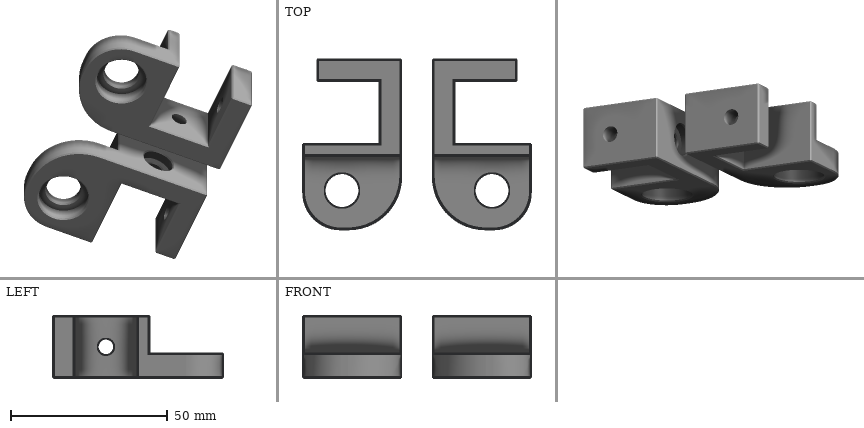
import cadquery as cq

total_width = 73.0
bracket_gap = 10.0
bracket_width = (total_width - bracket_gap) / 2
height = 20.0

wall = 7.0
front_wall = 4.0
slot_length = 20.0
arm_length = slot_length

foot_length = 23.5
foot_thickness = 8.0
outer_corner_radius = 12.0
inner_corner_radius = 17.0
edge_chamfer = 0.4

foot_hole_diameter = 11.0
seat_diameter = 16.0
seat_depth = 5.0
foot_hole_offset = 12.5

screw_diameter = 5.2
screw_head_diameter = 10.0
screw_head_depth = 3.0

web_outer_x = bracket_gap / 2
web_inner_x = web_outer_x + wall
side_x = total_width / 2
arm_end_x = web_inner_x + arm_length
slot_front_y = foot_length + front_wall
slot_back_y = slot_front_y + slot_length
back_y = slot_back_y + wall
web_hole_y = (slot_front_y + slot_back_y) / 2
arm_hole_x = (web_inner_x + arm_end_x) / 2

tolerance = 0.01


def make_clamp():
    """C-shaped upright part: web, back arm and front wall."""
    outline = [
        (web_outer_x, foot_length),
        (side_x, foot_length),
        (side_x, slot_front_y),
        (web_inner_x, slot_front_y),
        (web_inner_x, slot_back_y),
        (arm_end_x, slot_back_y),
        (arm_end_x, back_y),
        (web_outer_x, back_y),
    ]
    return cq.Workplane("XY").polyline(outline).close().extrude(height)


def make_foot():
    """Flat foot that runs under the front wall, with two differently rounded corners."""
    foot = cq.Workplane("XY").box(bracket_width, slot_front_y, foot_thickness, centered=False)
    foot = foot.translate((web_outer_x, 0, 0))
    foot = foot.edges("|Z and <Y and <X").fillet(inner_corner_radius)
    return foot.edges("|Z and <Y and >X").fillet(outer_corner_radius)


def is_outer_edge(edge):
    """False for inside corners and for the upright seams of the rounded foot corners."""
    center = edge.Center()
    upright = edge.tangentAt(0).cross(cq.Vector(0, 0, 0.7)).Length < tolerance
    in_foot = center.y < foot_length - tolerance
    in_slot_corner = abs(center.x - web_inner_x) < tolerance
    below_wall = abs(center.y - foot_length) < tolerance and abs(center.z - foot_thickness) < tolerance
    return not (upright and (in_foot or in_slot_corner)) and not below_wall


def chamfer_outer_edges(body):
    """Break every outer edge of the bracket."""
    outer_edges = [edge for edge in body.edges().vals() if is_outer_edge(edge)]
    return body.newObject(outer_edges).chamfer(edge_chamfer)


def make_recessed_hole(face, diameter, recess_diameter, recess_depth, wall_depth):
    """Cutter for a hole with a wider recess at the given face and chamfered recess-side rims."""
    hole = face.circle(diameter / 2).extrude(wall_depth)
    hole_rim = make_rim_cone(face.workplane(offset=recess_depth), diameter)
    recess = face.circle(recess_diameter / 2).extrude(recess_depth)
    recess_rim = make_rim_cone(face, recess_diameter)
    return hole.union(hole_rim).union(recess).union(recess_rim)


def make_rim_cone(face, diameter):
    """45 degree cone that chamfers the rim of a hole of this diameter."""
    rim = face.circle(diameter / 2 + edge_chamfer)
    return rim.workplane(offset=edge_chamfer).circle(diameter / 2).loft()


def cut_foot_hole(body):
    """Through hole in the foot, widened from below into a bearing seat."""
    bottom = cq.Workplane("XY", origin=(side_x - foot_hole_offset, foot_hole_offset, 0))
    return body.cut(
        make_recessed_hole(bottom, foot_hole_diameter, seat_diameter, seat_depth, foot_thickness)
    )


def cut_web_hole(body):
    """Screw hole through the web, with its head recess in the outer face."""
    web_face = cq.Workplane("YZ", origin=(web_outer_x, web_hole_y, height / 2))
    return body.cut(
        make_recessed_hole(web_face, screw_diameter, screw_head_diameter, screw_head_depth, wall)
    )


def cut_arm_hole(body):
    """Plain screw hole through the back arm."""
    arm_face = cq.Workplane("XZ", origin=(arm_hole_x, back_y, height / 2))
    return body.cut(arm_face.circle(screw_diameter / 2).extrude(wall))


def make_bracket():
    """One bracket, on the +X side."""
    body = make_clamp().union(make_foot()).clean()
    body = chamfer_outer_edges(body)
    body = cut_foot_hole(body)
    body = cut_web_hole(body)
    return cut_arm_hole(body)


right_bracket = make_bracket()
left_bracket = right_bracket.mirror("YZ")

result = cq.Compound.makeCompound([left_bracket.val(), right_bracket.val()])